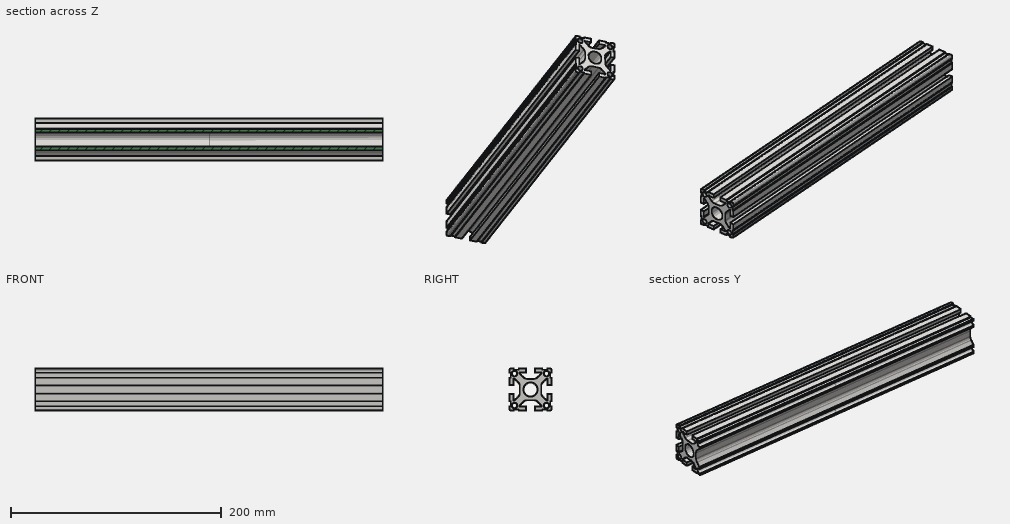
import cadquery as cq

length = 330
side = 40.0
corner_radius = 1.3

mouth_width = 8.2
lip_thickness = 4.0
cavity_width = 20.8
cavity_floor = 10.2
cavity_floor_width = 10.5
cavity_blend_radius = 5.0

groove_inner = 11.2
groove_outer = 16.0
groove_depth = 1.0

centre_bore_diameter = 13.2
corner_bore_diameter = 5.0
corner_bore_offset = 15.2

half_side = side / 2


def extrude_along_length(sketch):
    return sketch.extrude(length / 2, both=True)


def profile_plane():
    """Cross-section plane: local x is +Y and local y is +Z."""
    return cq.Workplane("YZ")


def top_slot():
    half_mouth = mouth_width / 2
    half_cavity = cavity_width / 2
    half_floor = cavity_floor_width / 2
    lip_underside = half_side - lip_thickness
    flank_top = cavity_floor + half_cavity - half_floor
    right_half = [
        (half_mouth, half_side),
        (half_mouth, lip_underside),
        (half_cavity, lip_underside),
        (half_cavity, flank_top),
        (half_floor, cavity_floor),
    ]
    left_half = [(-y, z) for y, z in reversed(right_half)]
    outline = profile_plane().polyline(right_half + left_half).close()
    slot = outline.extrude(length).translate((-length / 2, 0, 0))
    return slot.faces("<Z").edges("|X").fillet(cavity_blend_radius)


def top_groove(direction):
    """Groove on the top face; direction is +1 or -1 along Y."""
    floor = half_side - groove_depth
    inner = direction * groove_inner
    outer = direction * groove_outer
    outline = profile_plane().polyline([
        (inner, half_side),
        (inner, floor),
        (outer, floor),
        (outer, half_side),
    ]).close()
    return extrude_along_length(outline)


result = cq.Workplane("XY").box(length, side, side).edges("|X").fillet(corner_radius)

face_cutters = [top_slot(), top_groove(1), top_groove(-1)]
for quarter_turn in range(4):
    for cutter in face_cutters:
        result = result.cut(cutter.rotate((0, 0, 0), (1, 0, 0), 90 * quarter_turn))

centre_bore = extrude_along_length(profile_plane().circle(centre_bore_diameter / 2))
corner_bores = extrude_along_length(
    profile_plane()
    .rect(2 * corner_bore_offset, 2 * corner_bore_offset, forConstruction=True)
    .vertices()
    .circle(corner_bore_diameter / 2)
)
result = result.cut(centre_bore).cut(corner_bores)